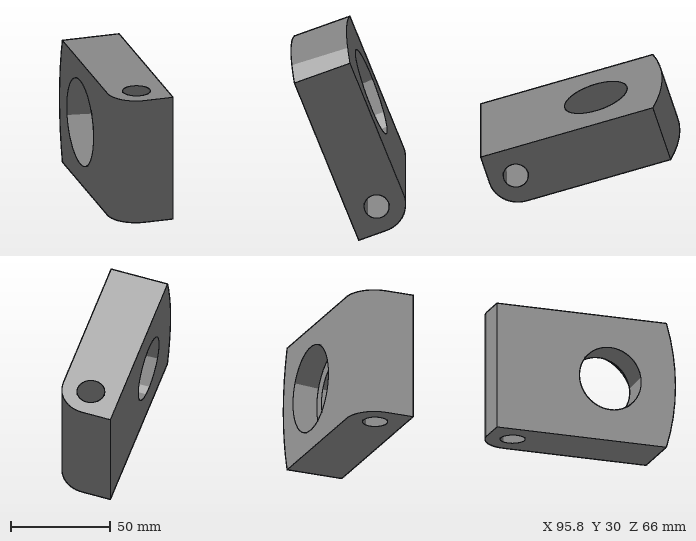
import cadquery as cq

length = 95.8
thickness = 30.0
height = 66.0
corner_radius = thickness / 2
end_bulge = 4.9

bore_diameter = 33.1
counterbore_diameter = 45.0
counterbore_depth = 13.0
bore_from_right = 60.8

pin_top_diameter = 14.0
pin_bottom_diameter = 12.6
pin_from_right = 13.9

right = length / 2
left = -length / 2
front = -thickness / 2
top = height / 2


def make_block():
    """Plate with a bowed -X end and one rounded vertical edge."""
    corner_x = left + end_bulge
    block = (
        cq.Workplane("XZ")
        .moveTo(corner_x, -top)
        .lineTo(right, -top)
        .lineTo(right, top)
        .lineTo(corner_x, top)
        .threePointArc((left, 0), (corner_x, -top))
        .close()
        .extrude(thickness / 2, both=True)
    )
    return block.edges("|Z and >X and <Y").fillet(corner_radius)


def make_stepped_bore():
    """Through bore with a counterbore opening on the -Y face."""
    bore_x = right - bore_from_right
    plane = cq.Workplane("XZ", origin=(bore_x, front, 0))
    bore = plane.circle(bore_diameter / 2).extrude(-thickness)
    counterbore = plane.circle(counterbore_diameter / 2).extrude(-counterbore_depth)
    return bore.union(counterbore)


def make_pin_hole():
    """Vertical through hole that narrows evenly from the top face to the bottom face."""
    return (
        cq.Workplane("XY", origin=(right - pin_from_right, 0, top))
        .circle(pin_top_diameter / 2)
        .workplane(offset=-height)
        .circle(pin_bottom_diameter / 2)
        .loft(ruled=True)
    )


result = make_block().cut(make_stepped_bore()).cut(make_pin_hole())